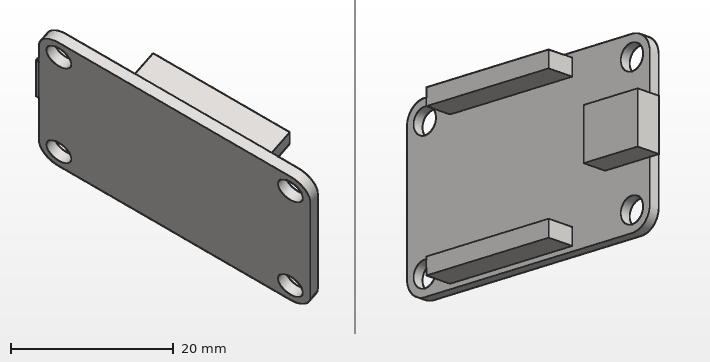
import cadquery as cq

overall_length = 42.6
overall_depth = 5.9
board_height = 26.0

usb_overhang = 1.58
board_length = overall_length - usb_overhang
board_thickness = 1.6
corner_radius = 3.02
hole_diameter = 3.75
hole_spacing_x = board_length - 2 * corner_radius
hole_spacing_z = board_height - 2 * corner_radius

usb_length = 9.1
usb_depth = 3.88
usb_height = 7.6

header_length = 20.65
header_depth = overall_depth - board_thickness
header_height = 2.45
header_start = 13.08
header_edge_gap = 0.72
header_offset_z = board_height / 2 - header_edge_gap - header_height / 2


def make_board():
    """Rounded board with a mounting hole concentric with each corner."""
    board = cq.Workplane("XY").box(
        board_length, board_thickness, board_height, centered=(False, False, True)
    )
    board = board.edges("|Y").fillet(corner_radius)
    holes = (
        cq.Workplane("XZ", origin=(board_length / 2, 0, 0))
        .rect(hole_spacing_x, hole_spacing_z, forConstruction=True)
        .vertices()
        .circle(hole_diameter / 2)
        .extrude(-board_thickness)
    )
    return board.cut(holes)


def make_component(start_x, center_z, length, depth, height):
    """Block standing on the +Y face of the board."""
    block = cq.Workplane("XY").box(length, depth, height, centered=(False, False, True))
    return block.translate((start_x, board_thickness, center_z))


result = make_board()
result = result.union(make_component(-usb_overhang, 0, usb_length, usb_depth, usb_height))
for side in (-1, 1):
    header = make_component(
        header_start, side * header_offset_z, header_length, header_depth, header_height
    )
    result = result.union(header)